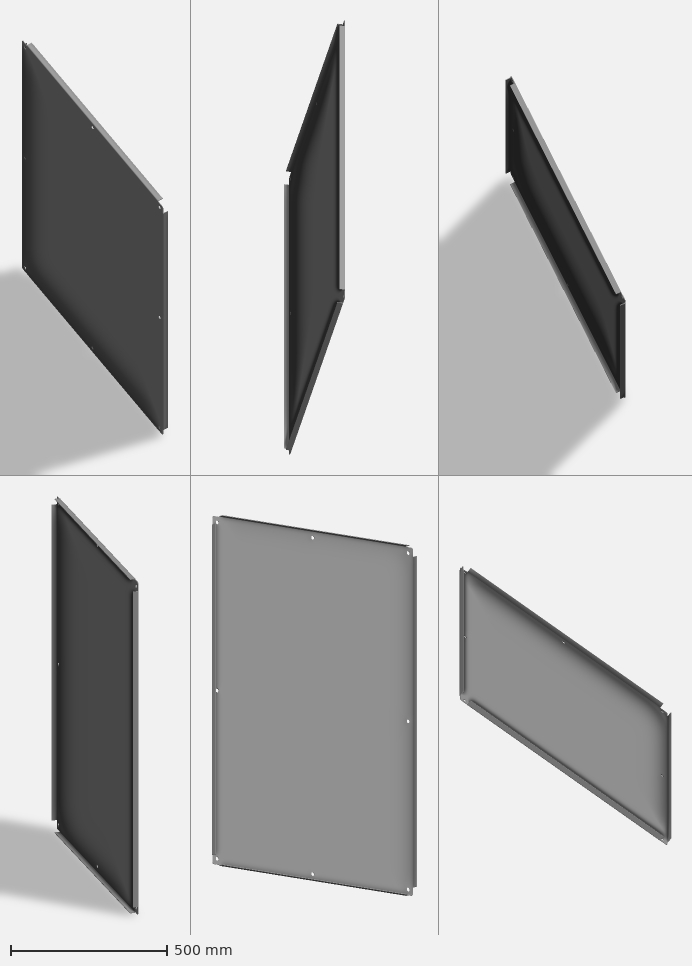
import cadquery as cq
import math

width = 838.2
height = 1143.0
depth = 19.05

thickness = 2.28
inner_bend_radius = 0.9
outer_bend_radius = inner_bend_radius + thickness

flange_setback = 31.75
corner_radius = 6.35

hole_diameter = 12.7
hole_inset = 22.225

front_y = -depth / 2
back_y = depth / 2
flat_width = width - 2 * outer_bend_radius
flat_height = height - 2 * outer_bend_radius


def make_face():
    """Flat sheet with rounded corners, thickened toward +Y."""
    return (
        cq.Workplane("XY")
        .box(flat_width, thickness, flat_height)
        .edges("|Y")
        .fillet(corner_radius)
        .translate((0, front_y + thickness / 2, 0))
    )


def make_flange(half_span, length):
    """Bend and flange at X = half_span, folded toward +Y and centred along Z."""
    bend_x = half_span - outer_bend_radius
    bend_y = front_y + outer_bend_radius
    diagonal = math.cos(math.radians(45))
    outer_mid = (bend_x + outer_bend_radius * diagonal, bend_y - outer_bend_radius * diagonal)
    inner_mid = (bend_x + inner_bend_radius * diagonal, bend_y - inner_bend_radius * diagonal)
    return (
        cq.Workplane("XY")
        .moveTo(bend_x, front_y)
        .threePointArc(outer_mid, (half_span, bend_y))
        .lineTo(half_span, back_y)
        .lineTo(half_span - thickness, back_y)
        .lineTo(half_span - thickness, bend_y)
        .threePointArc(inner_mid, (bend_x, front_y + thickness))
        .close()
        .extrude(length / 2, both=True)
    )


def add_flanges(panel):
    """Join a flange on each of the four sides."""
    for angle in (0, 90, 180, 270):
        is_x_side = angle in (0, 180)
        half_span = (width if is_x_side else height) / 2
        length = (height if is_x_side else width) - 2 * flange_setback
        flange = make_flange(half_span, length).rotate((0, 0, 0), (0, 1, 0), angle)
        panel = panel.union(flange)
    return panel


def make_holes():
    """Mounting holes at the corners and the middle of each side."""
    hole_x = width / 2 - hole_inset
    hole_z = height / 2 - hole_inset
    centres = [
        (x, z)
        for x in (-hole_x, 0, hole_x)
        for z in (-hole_z, 0, hole_z)
        if (x, z) != (0, 0)
    ]
    return (
        cq.Workplane("XZ")
        .pushPoints(centres)
        .circle(hole_diameter / 2)
        .extrude(depth, both=True)
    )


result = add_flanges(make_face()).cut(make_holes())